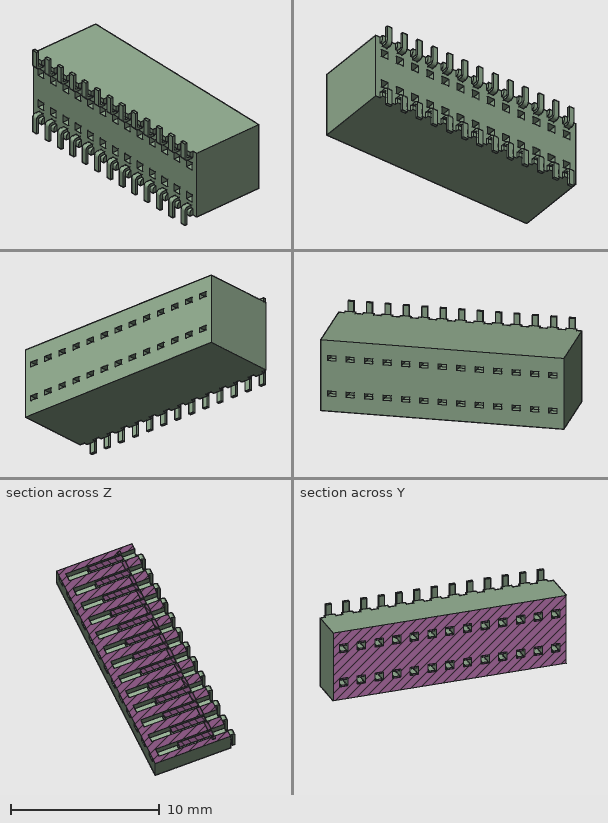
import cadquery as cq

CONTACTS_PER_ROW = 13
PITCH = 1.27
ROW_Z = PITCH
FIRST_X = -PITCH * (CONTACTS_PER_ROW - 1) / 2
CONTACT_XS = [FIRST_X + PITCH * i for i in range(CONTACTS_PER_ROW)]

OVERALL_Y = 6.1
OVERALL_Z = 6.48
HOUSING_X = 16.76
HOUSING_Z = 4 * PITCH
HOUSING_FRONT_Y = 0.56
HOUSING_HALF_Z = HOUSING_Z / 2

HOLE_SIZE = 0.57
ENTRY_Z = 0.36
ENTRY_DEPTH = 0.5

STRIP = 0.2
CONTACT_WIDTH = 0.4
FOOT_TIP_Z = OVERALL_Z / 2
SHANK_INNER_Z = 1.85
SHANK_OUTER_Z = SHANK_INNER_Z + STRIP
BEND_INNER_R = 0.07
BEND_OUTER_R = BEND_INNER_R + STRIP

STANDOFF_X = 0.76
STANDOFF_FRONT_Y = 0.3
STANDOFF_R = HOUSING_FRONT_Y - STANDOFF_FRONT_Y

CARRIER_DEPTH = 1.0
CARRIER_Y = HOUSING_FRONT_Y + CARRIER_DEPTH
CARRIER_MARGIN = 0.2
CARRIER_X = PITCH * (CONTACTS_PER_ROW - 1) + HOLE_SIZE + 2 * CARRIER_MARGIN

BEAM_THICKNESS = (HOLE_SIZE - ENTRY_Z) / 2
BEAM_LENGTH = 2.5


def box(size_x, size_z, y_start, y_end, x=0, z=0):
    """Box centred on x and z that spans y_start to y_end."""
    centre = (x, (y_start + y_end) / 2, z)
    return cq.Workplane("XY").box(size_x, y_end - y_start, size_z).translate(centre)


def both_rows(upper):
    """The upper-row shape and its mirror image in the lower row."""
    return upper.union(upper.mirror("XY"))


def repeat_in_row(shape):
    """Copies of a shape, made at X = 0, at every contact of a row."""
    copies = cq.Workplane("XY")
    for x in CONTACT_XS:
        copies = copies.add(shape.translate((x, 0, 0)))
    return copies.combine()


def extrude_across(profile, width):
    """Extrude a YZ profile by width, centred on X = 0."""
    return profile.extrude(width / 2, both=True)


def hole():
    """One stepped contact hole of the upper row."""
    square_hole = box(HOLE_SIZE, HOLE_SIZE, HOUSING_FRONT_Y, OVERALL_Y - ENTRY_DEPTH, z=ROW_Z)
    entry = box(HOLE_SIZE, ENTRY_Z, OVERALL_Y - ENTRY_DEPTH, OVERALL_Y, z=ROW_Z)
    return square_hole.union(entry)


def standoff():
    """One standoff of the upper row, rounded next to the bent foot."""
    profile = (
        cq.Workplane("YZ")
        .moveTo(HOUSING_FRONT_Y, SHANK_OUTER_Z)
        .lineTo(HOUSING_FRONT_Y, HOUSING_HALF_Z)
        .lineTo(STANDOFF_FRONT_Y, HOUSING_HALF_Z)
        .lineTo(STANDOFF_FRONT_Y, SHANK_OUTER_Z + STANDOFF_R)
        .radiusArc((HOUSING_FRONT_Y, SHANK_OUTER_Z), -STANDOFF_R)
        .close()
    )
    return extrude_across(profile, STANDOFF_X)


def foot():
    """One foot of the upper row: a shank from the carrier, bent outward along Y = 0."""
    profile = (
        cq.Workplane("YZ")
        .moveTo(CARRIER_Y, SHANK_INNER_Z)
        .lineTo(BEND_OUTER_R, SHANK_INNER_Z)
        .radiusArc((0, SHANK_INNER_Z + BEND_OUTER_R), BEND_OUTER_R)
        .lineTo(0, FOOT_TIP_Z)
        .lineTo(STRIP, FOOT_TIP_Z)
        .lineTo(STRIP, SHANK_OUTER_Z + BEND_INNER_R)
        .radiusArc((BEND_OUTER_R, SHANK_OUTER_Z), -BEND_INNER_R)
        .lineTo(CARRIER_Y, SHANK_OUTER_Z)
        .close()
    )
    return extrude_across(profile, CONTACT_WIDTH)


def beam_pair():
    """The two spring beams in one hole of the upper row."""
    beams = cq.Workplane("XY")
    for side in (1, -1):
        beam_z = ROW_Z + side * (HOLE_SIZE - BEAM_THICKNESS) / 2
        beam = box(CONTACT_WIDTH, BEAM_THICKNESS, CARRIER_Y, CARRIER_Y + BEAM_LENGTH, z=beam_z)
        beams = beams.add(beam)
    return beams.combine()


def make_contacts():
    """The carrier plate with all its feet and spring beams."""
    plate = box(CARRIER_X, 2 * SHANK_OUTER_Z, CARRIER_Y, CARRIER_Y + STRIP)
    plate = plate.cut(both_rows(repeat_in_row(hole())))
    feet = both_rows(repeat_in_row(foot()))
    beams = both_rows(repeat_in_row(beam_pair()))
    return plate.union(feet).union(beams).solids()


def make_housing(contacts):
    """The block with standoffs and holes, and a recess that matches the contacts."""
    block = box(HOUSING_X, HOUSING_Z, HOUSING_FRONT_Y, OVERALL_Y)
    block = block.union(both_rows(repeat_in_row(standoff())))
    block = block.cut(both_rows(repeat_in_row(hole())))
    return block.cut(contacts).solids()


contacts = make_contacts()
housing = make_housing(contacts)

result = cq.Compound.makeCompound([housing.val(), contacts.val()])